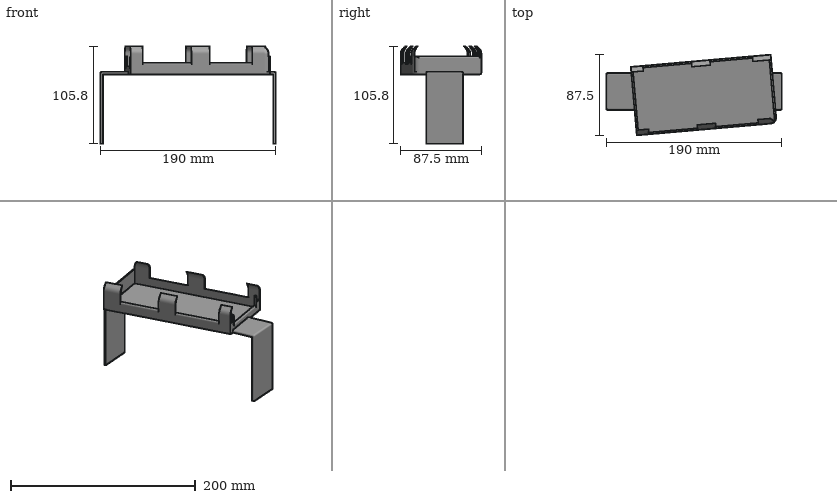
import cadquery as cq
import math

BRACKET_LENGTH = 190.0
BRACKET_WIDTH = 40.0
PLATE_THICKNESS = 3.0
LEG_DROP = 75.0
BRACKET_ROUND = 1.9

TRAY_LENGTH = 152.0
TRAY_WIDTH = 74.5
TRAY_ANGLE = 5.0
TRAY_CENTRE_X = 10.5
TRAY_CENTRE_Y = -3.8
FLOOR_THICKNESS = PLATE_THICKNESS
WALL = 2.0
SIDE_WALL_HEIGHT = 13.0
END_WALL_HEIGHT = 20.0
FRONT_LIP_HEIGHT = 9.0
CORNER_RADIUS = 7.0
BOTTOM_ROUND = 2.3

CLIP_TOP = 30.8
CLIP_BEND_HEIGHT = 25.6
CLIP_REACH = 5.7
CLIP_BEND_RADIUS = 6.8
CLIP_WIDTH = 20.0
FIRST_CLIP_WIDTH = 13.3

PEG_WIDTH = 1.9
PEG_OUTER = 8.0
PEG_INNER = PEG_OUTER + PEG_WIDTH


def make_bracket():
    """Inverted U with its outer edges rounded."""
    outer = cq.Workplane("XY").box(
        BRACKET_LENGTH, BRACKET_WIDTH, LEG_DROP + PLATE_THICKNESS, centered=(True, True, False)
    )
    outer = outer.edges("|Z or >Z").fillet(BRACKET_ROUND)
    gap = cq.Workplane("XY").box(
        BRACKET_LENGTH - 2 * PLATE_THICKNESS, BRACKET_WIDTH, LEG_DROP, centered=(True, True, False)
    )
    return outer.cut(gap).translate((0, 0, -LEG_DROP))


def rounded_wall(start, end, height):
    """Wall along X with its outer face on y = 0 and a quarter-round top edge."""
    arc_offset = WALL * math.sqrt(0.5)
    return (
        cq.Workplane("YZ", origin=(start, 0, 0))
        .lineTo(WALL, 0)
        .lineTo(WALL, height)
        .threePointArc((WALL - arc_offset, height - WALL + arc_offset), (0, height - WALL))
        .close()
        .extrude(end - start)
    )


def clip(start, end):
    """Clip along X on the y = 0 wall, bent inward to a sharp tip."""
    blank = (
        cq.Workplane("YZ", origin=(start, 0, 0))
        .polyline([
            (0, 0),
            (WALL, 0),
            (WALL, CLIP_BEND_HEIGHT),
            (CLIP_REACH, CLIP_TOP),
            (0, CLIP_BEND_HEIGHT),
        ])
        .close()
        .extrude(end - start)
    )
    bend_edges = cq.selectors.BoxSelector(
        (start - 1.9, -WALL / 2, CLIP_BEND_HEIGHT - WALL / 2),
        (end + 1.9, WALL * 1.5, CLIP_BEND_HEIGHT + WALL / 2),
    )
    return blank.edges("|X").edges(bend_edges).fillet(CLIP_BEND_RADIUS)


def long_side():
    """Low wall with three clips, outer face on y = 0."""
    side = rounded_wall(0, TRAY_LENGTH, SIDE_WALL_HEIGHT)
    middle_start = (TRAY_LENGTH - CLIP_WIDTH) / 2
    clip_spans = [
        (0, FIRST_CLIP_WIDTH),
        (middle_start, middle_start + CLIP_WIDTH),
        (TRAY_LENGTH - CLIP_WIDTH, TRAY_LENGTH),
    ]
    for start, end in clip_spans:
        side = side.union(clip(start, end))
    return side


def minus_x_wall():
    """Low lip, raised at both ends with a peg beside each slot, outer face on x = 0."""
    wall = rounded_wall(0, TRAY_WIDTH, FRONT_LIP_HEIGHT)
    shoulder = cq.Workplane("XY").box(PEG_INNER, WALL, SIDE_WALL_HEIGHT, centered=False)
    peg = rounded_wall(PEG_OUTER, PEG_INNER, END_WALL_HEIGHT)
    wall_end = shoulder.union(peg)
    wall = wall.union(wall_end).union(wall_end.mirror("YZ").translate((TRAY_WIDTH, 0, 0)))
    return wall.rotate((0, 0, 0), (0, 0, 1), -90).translate((0, TRAY_WIDTH, 0))


def plus_x_wall():
    """Tall end wall, outer face on x = TRAY_LENGTH."""
    wall = rounded_wall(0, TRAY_WIDTH, END_WALL_HEIGHT)
    return wall.rotate((0, 0, 0), (0, 0, 1), 90).translate((TRAY_LENGTH, 0, 0))


def rounded_corner_post():
    """Round post at the +X -Y corner, narrowing upward to match the outside of a clip."""
    post = (
        cq.Workplane("XZ")
        .polyline([
            (0, 0),
            (CORNER_RADIUS, 0),
            (CORNER_RADIUS, CLIP_BEND_HEIGHT),
            (CORNER_RADIUS - CLIP_REACH, CLIP_TOP),
            (0, CLIP_TOP),
        ])
        .close()
        .revolve(360, (0, 0, 0), (0, 1, 0))
    )
    bend_edge = cq.selectors.BoxSelector(
        (-TRAY_LENGTH, -TRAY_WIDTH, CLIP_BEND_HEIGHT - WALL / 2),
        (TRAY_LENGTH, TRAY_WIDTH, CLIP_BEND_HEIGHT + WALL / 2),
    )
    post = post.edges("%CIRCLE").edges(bend_edge).fillet(CLIP_BEND_RADIUS)
    return post.translate((TRAY_LENGTH - CORNER_RADIUS, CORNER_RADIUS, 0))


def tray_envelope():
    """Block with a rounded +X -Y corner and a rounded +Y bottom edge."""
    block = cq.Workplane("XY").box(TRAY_LENGTH, TRAY_WIDTH, CLIP_TOP, centered=False)
    block = block.edges(">Y and <Z").fillet(BOTTOM_ROUND)
    square_corner = (
        cq.Workplane("XY")
        .box(CORNER_RADIUS, CORNER_RADIUS, CLIP_TOP, centered=False)
        .translate((TRAY_LENGTH - CORNER_RADIUS, 0, 0))
    )
    return block.cut(square_corner).union(rounded_corner_post())


def make_tray():
    """Open tray, turned and placed on the bracket."""
    tray = cq.Workplane("XY").box(TRAY_LENGTH, TRAY_WIDTH, FLOOR_THICKNESS, centered=False)
    side = long_side()
    tray = tray.union(side).union(side.mirror("XZ").translate((0, TRAY_WIDTH, 0)))
    tray = tray.union(minus_x_wall()).union(plus_x_wall())
    tray = tray.intersect(tray_envelope())
    tray = tray.translate((-TRAY_LENGTH / 2, -TRAY_WIDTH / 2, 0))
    tray = tray.rotate((0, 0, 0), (0, 0, 1), TRAY_ANGLE)
    return tray.translate((TRAY_CENTRE_X, TRAY_CENTRE_Y, 0))


result = make_bracket().union(make_tray())